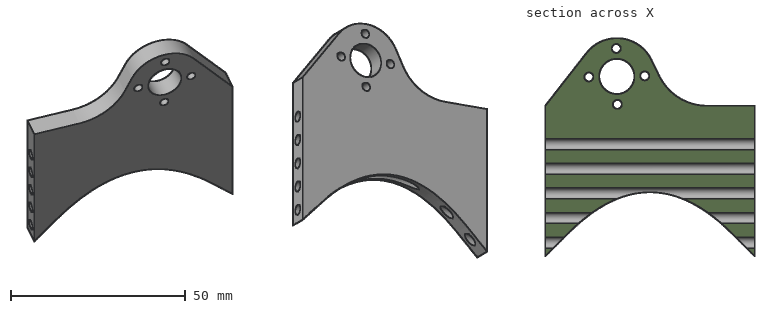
import cadquery as cq
import math

thickness = 6.0
width = 60.0
height = 62.5
shoulder_height = 43.1
half_width = width / 2

lug_radius = 11.0
lug_y = 9.5
lug_z = height - lug_radius
bore_diameter = 10.0
bolt_hole_diameter = 2.5
bolt_circle_radius = 8.0
bolt_hole_count = 4
bolt_pattern_tilt = 1.1

blend_radius = 15.2
blend_y = -16.3
blend_z = shoulder_height + blend_radius

arch_height = 18.3
parabola_half_width = 2 * (half_width - arch_height)
parabola_base = half_width - parabola_half_width

edge_hole_diameter = 3.0
edge_hole_count = 5
edge_hole_pitch = 7.03
first_edge_hole_z = 3.95


def on_circle(y, z, radius, angle):
    """Point on a circle, with the angle in radians from +Y towards +Z."""
    return (y + radius * math.cos(angle), z + radius * math.sin(angle))


def arch_point(t):
    """Point of the parabola for t from -1 (the -Y end) to 1 (the +Y end)."""
    y = t * parabola_half_width
    return (y, arch_height - y**2 / (2 * parabola_half_width))


def make_plate():
    corner_dy = half_width - lug_y
    corner_dz = shoulder_height - lug_z
    corner_distance = math.hypot(corner_dy, corner_dz)
    corner_direction = math.atan2(corner_dz, corner_dy)
    lug_start_angle = corner_direction + math.acos(lug_radius / corner_distance)

    blend_dy = blend_y - lug_y
    blend_dz = blend_z - lug_z
    center_distance = math.hypot(blend_dy, blend_dz)
    blend_direction = math.atan2(blend_dz, blend_dy)
    lug_end_angle = blend_direction - math.acos((lug_radius + blend_radius) / center_distance)

    blend_start_angle = lug_end_angle - math.pi
    blend_end_angle = -math.pi / 2
    blend_middle_angle = (blend_start_angle + blend_end_angle) / 2

    return (
        cq.Workplane("YZ")
        .moveTo(half_width, 0)
        .lineTo(half_width, shoulder_height)
        .lineTo(*on_circle(lug_y, lug_z, lug_radius, lug_start_angle))
        .threePointArc(
            (lug_y, height),
            on_circle(lug_y, lug_z, lug_radius, lug_end_angle),
        )
        .lineTo(*on_circle(blend_y, blend_z, blend_radius, blend_start_angle))
        .threePointArc(
            on_circle(blend_y, blend_z, blend_radius, blend_middle_angle),
            (blend_y, shoulder_height),
        )
        .lineTo(-half_width, shoulder_height)
        .lineTo(-half_width, 0)
        .lineTo(-parabola_half_width, parabola_base)
        .parametricCurve(arch_point, N=20, start=-1, stop=1, makeWire=False)
        .close()
        .extrude(thickness / 2, both=True)
    )


def make_lug_holes():
    lug_plane = cq.Workplane("YZ", origin=(-thickness / 2, lug_y, lug_z))
    bore = lug_plane.circle(bore_diameter / 2).extrude(thickness)
    bolt_holes = (
        lug_plane
        .polarArray(bolt_circle_radius, -bolt_pattern_tilt, 360, bolt_hole_count)
        .circle(bolt_hole_diameter / 2)
        .extrude(thickness)
    )
    return bore.union(bolt_holes)


def make_edge_holes():
    centers = [(0, first_edge_hole_z + i * edge_hole_pitch) for i in range(edge_hole_count)]
    return (
        cq.Workplane("XZ", origin=(0, half_width, 0))
        .pushPoints(centers)
        .circle(edge_hole_diameter / 2)
        .extrude(width)
    )


result = make_plate().cut(make_lug_holes()).cut(make_edge_holes())